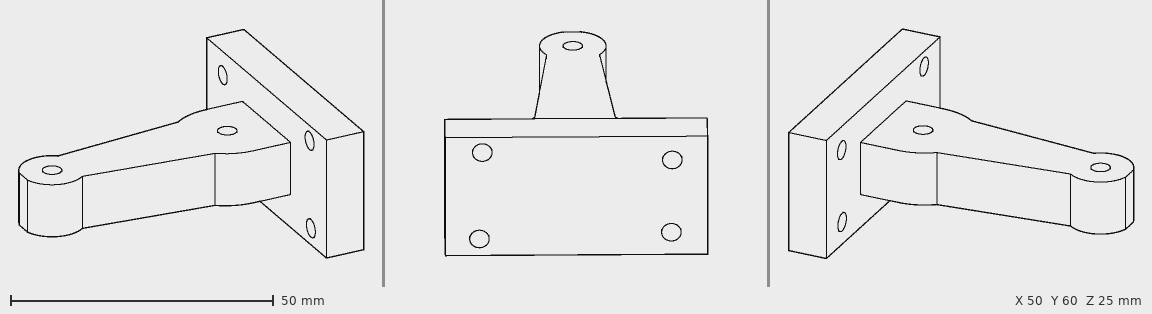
import cadquery as cq
import math

total_depth = 60.0
plate_width = 50.0
plate_height = 25.0
plate_thickness = 8.0
hole_diameter = 3.7

arm_thickness = 11.05
arm_reach = total_depth - plate_thickness
root_half_width = 10.0
root_straight_reach = 8.05
shoulder_reach = 15.0
shoulder_half_width = 7.7
root_hole_reach = 8.4

eye_radius = 6.35
eye_to_flat = 6.1
neck_half_width = 5.05
eye_reach = arm_reach - eye_to_flat
neck_reach = eye_reach - math.sqrt(eye_radius**2 - neck_half_width**2)
flat_half_width = math.sqrt(eye_radius**2 - eye_to_flat**2)

mounting_holes = [(-18.25, 7.5), (-18.05, -7.8), (17.95, 9.3), (18.5, -9.0)]


def make_plate():
    """Mounting plate behind Y = 0, drilled through its thickness."""
    plate = cq.Workplane("XY").box(
        plate_width, plate_thickness, plate_height, centered=(True, False, True)
    )
    drills = (
        cq.Workplane("XZ")
        .pushPoints(mounting_holes)
        .circle(hole_diameter / 2)
        .extrude(-plate_thickness)
    )
    return plate.cut(drills)


def make_arm():
    """Tapered arm with rounded shoulders, a round eye and two vertical holes."""
    arm = (
        cq.Workplane("XY")
        .moveTo(-root_half_width, 0)
        .lineTo(-root_half_width, -root_straight_reach)
        .tangentArcPoint((-shoulder_half_width, -shoulder_reach), relative=False)
        .lineTo(-neck_half_width, -neck_reach)
        .threePointArc((-eye_radius, -eye_reach), (-flat_half_width, -arm_reach))
        .lineTo(flat_half_width, -arm_reach)
        .threePointArc((eye_radius, -eye_reach), (neck_half_width, -neck_reach))
        .lineTo(shoulder_half_width, -shoulder_reach)
    )
    drop = shoulder_reach - root_straight_reach
    inset = root_half_width - shoulder_half_width
    shoulder_radius = (drop**2 + inset**2) / (2 * inset)
    arm = (
        arm.radiusArc((root_half_width, -root_straight_reach), -shoulder_radius)
        .lineTo(root_half_width, 0)
        .close()
        .extrude(arm_thickness / 2, both=True)
    )
    drills = (
        cq.Workplane("XY")
        .pushPoints([(0, -root_hole_reach), (0, -eye_reach)])
        .circle(hole_diameter / 2)
        .extrude(arm_thickness / 2, both=True)
    )
    return arm.cut(drills)


result = make_plate().union(make_arm())